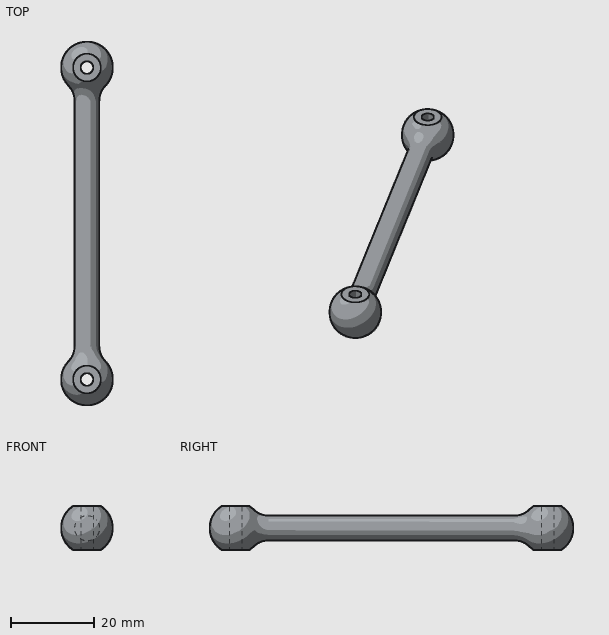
import cadquery as cq
import math

length = 87.5
ball_diameter = 12.5
ball_height = 10.6
rod_diameter = 6.0
neck_fillet = 5.0
hole_diameter = 3.0

ball_radius = ball_diameter / 2
rod_radius = rod_diameter / 2
ball_center = length / 2 - ball_radius

blend_center_radius = rod_radius + neck_fillet
center_distance = ball_radius + neck_fillet
blend_offset = math.sqrt(center_distance**2 - blend_center_radius**2)
blend_center_y = ball_center - blend_offset
ball_share = ball_radius / center_distance
tangent_radius = blend_center_radius * ball_share
tangent_y = ball_center - blend_offset * ball_share

blend_mid_angle = math.atan2(blend_center_radius, blend_offset) / 2 + math.pi / 4
mid_radius = blend_center_radius - neck_fillet * math.sin(blend_mid_angle)
mid_y = blend_center_y + neck_fillet * math.cos(blend_mid_angle)

link = (
    cq.Workplane("XY")
    .moveTo(0, -length / 2)
    .threePointArc((ball_radius, -ball_center), (tangent_radius, -tangent_y))
    .threePointArc((mid_radius, -mid_y), (rod_radius, -blend_center_y))
    .lineTo(rod_radius, blend_center_y)
    .threePointArc((mid_radius, mid_y), (tangent_radius, tangent_y))
    .threePointArc((ball_radius, ball_center), (0, length / 2))
    .close()
    .revolve(360, (0, 0, 0), (0, 1, 0))
)

link = link.intersect(cq.Workplane("XY").box(ball_diameter, length, ball_height))

holes = (
    cq.Workplane("XY")
    .pushPoints([(0, ball_center), (0, -ball_center)])
    .circle(hole_diameter / 2)
    .extrude(ball_height, both=True)
)
result = link.cut(holes)